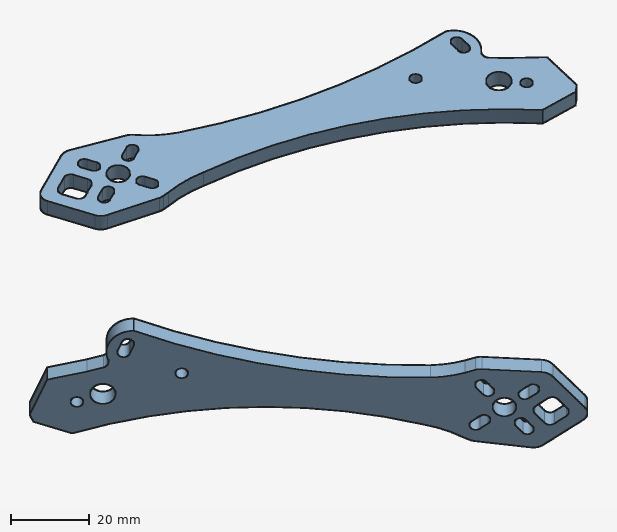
import cadquery as cq
import math

thickness = 5.0
screw_diameter = 3.2

motor_angle = 30.0
motor_bore_diameter = 6.0
motor_slot_radius = 8.0
motor_slot_travel = 2.7
pad_half_width = 15.85
pad_side_corner = 1.85
window_centre = -8.45
window_size = 7.45
window_corner_radius = 1.8
pad_tip_radius = 2.9
pad_corner_radius = 4.0

left_shoulder = (-9.25, 10.7)
right_shoulder = (13.3, 3.65)
left_flare_end = (-6.85, 13.45)
left_flare_middle = (-4.45, 16.8)
right_flare_end = (13.05, 6.0)
right_flare_middle = (12.5, 10.4)

left_side_bottom = (-2.25, 21.05)
left_side_middle = (8.25, 57.75)
right_side_bottom = (12.8, 17.4)
right_side_middle = (23.52, 60.65)

mount_right = 47.7
mount_top = 111.58
mount_right_bottom = 99.3
mount_top_left = 33.55
mount_chamfer = 1.75
mount_bore_diameter = 6.5
mount_bore = (32.8, 96.7)
mount_screws = [(37.6, 101.9), (19.25, 80.45)]
mount_slot_centre = (16.7, mount_bore[1])
mount_slot_travel = 2.9
lobe_start = (10.65, 96.8)
lobe_top = (16.6, 101.25)
notch = (23.2, 97.9)
mount_knee = (27.45, 103.15)
notch_radius = 2.0


def from_motor_frame(u, v):
    """Turn a point of the motor frame into part coordinates."""
    angle = math.radians(motor_angle)
    return (
        u * math.cos(angle) - v * math.sin(angle),
        u * math.sin(angle) + v * math.cos(angle),
    )


def slot_cutter(centre, travel, angle):
    return (
        cq.Workplane("XY")
        .center(*centre)
        .slot2D(travel + screw_diameter, screw_diameter, angle)
        .extrude(thickness)
    )


def round_edge(body, point, radius):
    """Round the upright edge nearest to a point of the outline."""
    nearest = cq.selectors.NearestToPointSelector((*point, thickness / 2))
    return body.edges("|Z").edges(nearest).fillet(radius)


def arm_plate():
    pad_left = from_motor_frame(-pad_half_width, pad_side_corner)
    pad_tip = from_motor_frame(-pad_half_width, -pad_half_width)
    pad_right = from_motor_frame(pad_side_corner, -pad_half_width)

    plate = (
        cq.Workplane("XY")
        .moveTo(*pad_tip)
        .lineTo(*pad_left)
        .lineTo(*left_shoulder)
        .lineTo(*left_flare_end)
        .threePointArc(left_flare_middle, left_side_bottom)
        .threePointArc(left_side_middle, lobe_start)
        .threePointArc(lobe_top, notch)
        .lineTo(*mount_knee)
        .lineTo(mount_top_left, mount_top)
        .lineTo(mount_right - mount_chamfer, mount_top)
        .lineTo(mount_right, mount_top - mount_chamfer)
        .lineTo(mount_right, mount_right_bottom)
        .threePointArc(right_side_middle, right_side_bottom)
        .threePointArc(right_flare_middle, right_flare_end)
        .lineTo(*right_shoulder)
        .lineTo(*pad_right)
        .close()
        .extrude(thickness)
    )
    plate = round_edge(plate, pad_tip, pad_tip_radius)
    for corner in (pad_left, pad_right, left_shoulder, right_shoulder):
        plate = round_edge(plate, corner, pad_corner_radius)
    return round_edge(plate, notch, notch_radius)


def cut_motor_holes(body):
    body = body.cut(cq.Workplane("XY").circle(motor_bore_diameter / 2).extrude(thickness))
    for quarter in range(4):
        angle = motor_angle + 90 * quarter
        centre = (
            motor_slot_radius * math.cos(math.radians(angle)),
            motor_slot_radius * math.sin(math.radians(angle)),
        )
        body = body.cut(slot_cutter(centre, motor_slot_travel, angle))
    window = (
        cq.Workplane("XY")
        .center(window_centre, window_centre)
        .rect(window_size, window_size)
        .extrude(thickness)
        .edges("|Z")
        .fillet(window_corner_radius)
        .rotate((0, 0, 0), (0, 0, 1), motor_angle)
    )
    return body.cut(window)


def cut_mount_holes(body):
    bore = cq.Workplane("XY").center(*mount_bore).circle(mount_bore_diameter / 2)
    screws = cq.Workplane("XY").pushPoints(mount_screws).circle(screw_diameter / 2)
    body = body.cut(bore.extrude(thickness)).cut(screws.extrude(thickness))
    return body.cut(slot_cutter(mount_slot_centre, mount_slot_travel, 0))


result = cut_mount_holes(cut_motor_holes(arm_plate()))